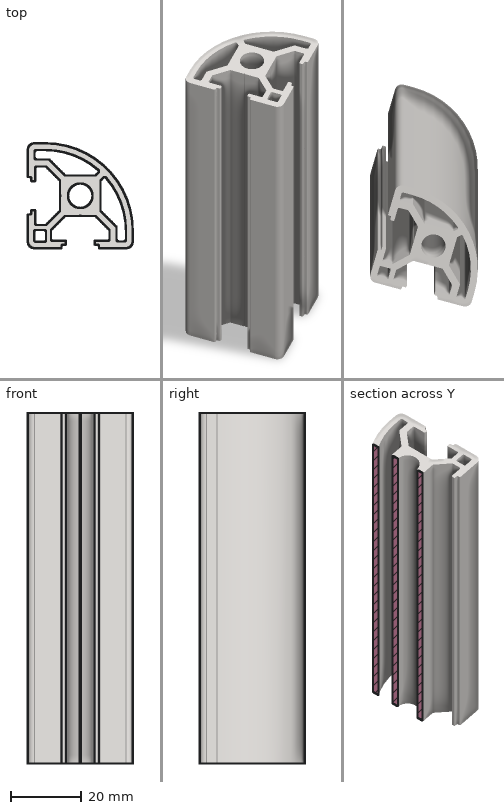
import cadquery as cq
import math

length = 100.0
half_size = 15.0
corner_radius = 2.0
rounded_side_radius = 25.0
wall = 2.0
bore_diameter = 6.9

core_half = 5.8
rib_width = 2.9

lip_thickness = 2.2
slot_half_width = 8.3
mouth_half_width = 4.1
step_half_width = 5.3
step_depth = 1.0
lip_fillet = 0.3
slot_fillet = 0.4
mark_half_width = 0.2
mark_depth = 0.2

slot_wall = 2.1
corner_hollow_start = 9.8
corner_hollow_wall = 1.9
corner_hollow_fillet = 0.4
side_hollow_fillet = 0.5

inner_half = half_size - wall
arc_centre = half_size - rounded_side_radius
inner_arc_radius = rounded_side_radius - wall
rib_half_offset = rib_width / 2
core_corner = core_half - rib_half_offset
mid_height = length / 2


def mirror_across_diagonal(solid):
    """Swap X and Y: mirror in the vertical plane x = y."""
    return solid.mirror("YZ").rotate((0, 0, 0), (0, 0, 1), -90)


def arc_point(radius, angle):
    """Point on a circle about the centre of the rounded side."""
    return (arc_centre + radius * math.cos(angle), arc_centre + radius * math.sin(angle))


def edges_at(solid, points):
    """Vertical edges of the solid that pass through the given XY points."""
    reach = 0.05
    selection = None
    for x, y in points:
        box = cq.selectors.BoxSelector(
            (x - reach, y - reach, mid_height - reach), (x + reach, y + reach, mid_height + reach)
        )
        selection = box if selection is None else selection + box
    return solid.edges(selection)


def make_body():
    """Square bar with a quarter-round side between +X and +Y and three small rounded corners."""
    body = (
        cq.Workplane("XY")
        .moveTo(-half_size, -half_size)
        .lineTo(half_size, -half_size)
        .lineTo(half_size, arc_centre)
        .threePointArc(arc_point(rounded_side_radius, math.pi / 4), (arc_centre, half_size))
        .lineTo(-half_size, half_size)
        .close()
        .extrude(length)
    )
    small_corners = [(-half_size, -half_size), (half_size, -half_size), (-half_size, half_size)]
    return edges_at(body, small_corners).fillet(corner_radius)


def make_slot():
    """T-slot open to -X, with stepped lips and a centre mark on its floor."""
    lip_inside = -half_size + lip_thickness
    step_floor = -half_size + step_depth
    rib_start = -slot_half_width - rib_half_offset
    upper_half = [
        (-half_size, step_half_width),
        (step_floor, step_half_width),
        (step_floor, mouth_half_width),
        (lip_inside, mouth_half_width),
        (lip_inside, slot_half_width),
        (rib_start, slot_half_width),
        (-core_half, core_corner),
        (-core_half, mark_half_width),
    ]
    lower_half = [(x, -y) for x, y in reversed(upper_half)]
    mark_tip = [(-core_half + mark_depth, 0)]
    slot = cq.Workplane("XY").polyline(upper_half + mark_tip + lower_half).close().extrude(length)
    pocket_corners = [(lip_inside, slot_half_width), (lip_inside, -slot_half_width)]
    return edges_at(slot, pocket_corners).fillet(slot_fillet)


def make_side_hollow():
    """Hollow between the +Y half of the rounded wall, the core and the -X slot."""
    floor = slot_half_width + slot_wall
    rib_angle = math.pi / 4 + math.asin(rib_half_offset / math.sqrt(2) / inner_arc_radius)
    rib_end = arc_point(inner_arc_radius, rib_angle)
    middle_of_arc = arc_point(inner_arc_radius, (rib_angle + math.pi / 2) / 2)
    hollow = (
        cq.Workplane("XY")
        .moveTo(-inner_half, inner_half)
        .lineTo(-inner_half, floor)
        .lineTo(rib_half_offset - floor, floor)
        .lineTo(-core_corner, core_half)
        .lineTo(core_corner, core_half)
        .lineTo(*rib_end)
        .threePointArc(middle_of_arc, (arc_centre, inner_half))
        .close()
        .extrude(length)
    )
    rounded = [(-inner_half, inner_half), (-inner_half, floor), rib_end]
    return edges_at(hollow, rounded).fillet(side_hollow_fillet)


def make_corner_hollow():
    """Small square hollow in the corner between the two slots."""
    far_side = half_size - corner_hollow_wall
    side = far_side - corner_hollow_start
    centre = -(far_side + corner_hollow_start) / 2
    return (
        cq.Workplane("XY")
        .center(centre, centre)
        .rect(side, side)
        .extrude(length)
        .edges("|Z")
        .fillet(corner_hollow_fillet)
    )


def round_lips(solid):
    """Round the outer and inner step corners and both tip corners of every lip."""
    step_floor = -half_size + step_depth
    lip_inside = -half_size + lip_thickness
    corners = []
    for side in (-1, 1):
        corners += [
            (-half_size, side * step_half_width),
            (step_floor, side * step_half_width),
            (step_floor, side * mouth_half_width),
            (lip_inside, side * mouth_half_width),
        ]
    both_slots = corners + [(y, x) for x, y in corners]
    return edges_at(solid, both_slots).fillet(lip_fillet)


result = make_body()
for cutter in (make_slot(), make_side_hollow()):
    result = result.cut(cutter).cut(mirror_across_diagonal(cutter))
result = result.cut(make_corner_hollow())
result = result.cut(cq.Workplane("XY").circle(bore_diameter / 2).extrude(length))
result = round_lips(result)